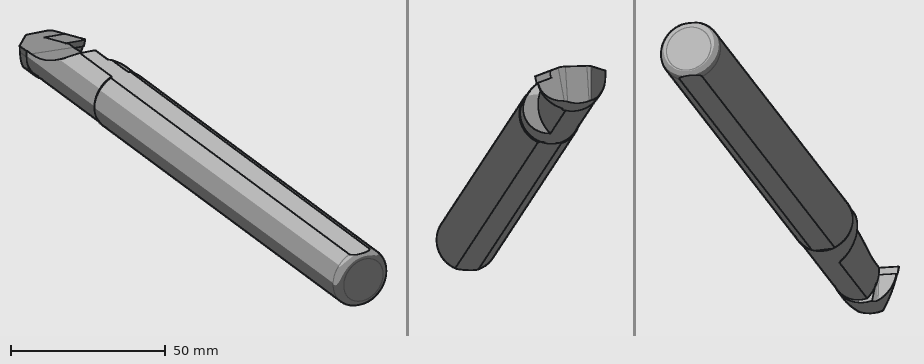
import cadquery as cq
import math


overall_length = 199.96
shank_radius = 10.0
flat_height = 9.25
end_round = 2.5
neck_radius = 9.75
neck_end_x = 51.9
step_length = 0.6
clearance_reach_y = 5.95
clearance_radius = 13.3
clearance_axis_y = clearance_reach_y - clearance_radius
clearance_end_x = 41.1
clearance_runout = 7.5
clearance_runout_angle = 34.0
head_length = 10.7
head_radius = 10.85
head_axis_y = head_radius - neck_radius
head_corner_radius = 2.5
chamfer_size = 6.4
relief_angle = 7.0
rake_tilt = 5.0
rake_height = 1.3
insert_side = 7.75
insert_angle = 55.0
insert_thickness = 2.38
nose_radius = 0.4
lead_angle = 3.0
tip_x = 11.05
tip_y = 13.05
scoop_start_x = 13.7
scoop_radius = 27.5
scoop_sweep_angle = 60.0
scoop_skew = 4.6

oversize = 40.0
margin = 10.0

front_angle = 90 - insert_angle - lead_angle
front_slope = math.tan(math.radians(front_angle))
lead_slope = math.tan(math.radians(lead_angle))

rake_plane = cq.Plane(
    origin=(0, 0, rake_height),
    xDir=(1, 0, 0),
    normal=(0, math.sin(math.radians(rake_tilt)), math.cos(math.radians(rake_tilt))),
)


def polar(length, angle):
    """X and Y parts of a length at an angle in degrees."""
    return (length * math.cos(math.radians(angle)), length * math.sin(math.radians(angle)))


def make_insert():
    """Rhombic insert with its top on the rake face and its sides relieved."""
    front_dx, front_dy = polar(insert_side, 180 + front_angle)
    trail_dx, trail_dy = polar(insert_side, 270 - lead_angle)
    outline = (
        cq.Sketch()
        .polygon([
            (tip_x, tip_y),
            (tip_x + front_dx, tip_y + front_dy),
            (tip_x + front_dx + trail_dx, tip_y + front_dy + trail_dy),
            (tip_x + trail_dx, tip_y + trail_dy),
            (tip_x, tip_y),
        ])
        .vertices(">Y")
        .fillet(nose_radius)
    )
    return cq.Workplane(rake_plane).placeSketch(outline).extrude(-insert_thickness, taper=relief_angle)


def make_head():
    """Relieved wedge below the rake face, limited by the eccentric head section."""
    front_corner_y = tip_y - tip_x * front_slope
    trail_end_x = tip_x - (tip_y - clearance_reach_y) * lead_slope
    back_x = head_length + margin
    outline = (
        cq.Sketch()
        .polygon([
            (0, chamfer_size - neck_radius),
            (0, front_corner_y),
            (tip_x, tip_y),
            (trail_end_x, clearance_reach_y),
            (back_x, clearance_reach_y),
            (back_x, -neck_radius - margin),
            (chamfer_size + margin, -neck_radius - margin),
            (0, chamfer_size - neck_radius),
        ])
        .vertices("<X")
        .fillet(head_corner_radius)
    )
    wedge_depth = head_radius + 2 * rake_height
    wedge = cq.Workplane(rake_plane).placeSketch(outline).extrude(-wedge_depth, taper=relief_angle)
    section = (
        cq.Workplane("YZ")
        .moveTo(head_axis_y - head_radius, flat_height)
        .lineTo(head_axis_y - head_radius, 0)
        .threePointArc((head_axis_y, -head_radius), (head_axis_y + head_radius, 0))
        .lineTo(head_axis_y + head_radius, flat_height)
        .close()
        .extrude(head_length)
    )
    return section.intersect(wedge)


def make_shank_and_neck():
    """Round neck and shank, turned in one piece, with a top flat all along and a bottom flat on the shank."""
    corner = end_round * math.sqrt(0.5)
    turned = (
        cq.Workplane("XY")
        .moveTo(head_length, 0)
        .lineTo(head_length, neck_radius)
        .lineTo(neck_end_x, neck_radius)
        .lineTo(neck_end_x + step_length, shank_radius)
        .lineTo(overall_length - end_round, shank_radius)
        .threePointArc(
            (overall_length - end_round + corner, shank_radius - end_round + corner),
            (overall_length, shank_radius - end_round),
        )
        .lineTo(overall_length, 0)
        .close()
        .revolve(360, (0, 0, 0), (1, 0, 0))
    )
    top_waste = (
        cq.Workplane("XY", origin=(0, 0, flat_height))
        .rect(2 * overall_length + margin, oversize)
        .extrude(margin)
    )
    bottom_waste = (
        cq.Workplane("XY", origin=(neck_end_x, -oversize / 2, -flat_height - margin))
        .rect(overall_length, oversize, centered=False)
        .extrude(margin)
    )
    return turned.cut(top_waste).cut(bottom_waste)


def make_neck_clearance():
    """Material removed outside an eccentric cylinder that runs out in a cone."""
    runout_rise = clearance_runout * math.tan(math.radians(clearance_runout_angle))
    outer = clearance_radius + runout_rise
    return (
        cq.Workplane("XY", origin=(0, clearance_axis_y, 0))
        .polyline([
            (head_length, clearance_radius),
            (clearance_end_x, clearance_radius),
            (clearance_end_x + clearance_runout, outer),
            (head_length, outer),
        ])
        .close()
        .revolve(360, (0, 0, 0), (1, 0, 0))
    )


def make_scoop():
    """Material removed above the rake face and the arc rising behind it."""
    axis = cq.Vector(
        math.tan(math.radians(scoop_skew)), 1, -math.tan(math.radians(rake_tilt))
    )
    sweep = axis * oversize
    start = sweep * -0.5
    arc_mid = polar(scoop_radius, scoop_sweep_angle / 2 - 90)
    arc_end = polar(scoop_radius, scoop_sweep_angle - 90)
    scoop_centre_z = rake_height + scoop_radius
    profile = (
        cq.Workplane("XZ")
        .moveTo(-oversize, rake_height)
        .lineTo(scoop_start_x, rake_height)
        .threePointArc(
            (scoop_start_x + arc_mid[0], scoop_centre_z + arc_mid[1]),
            (scoop_start_x + arc_end[0], scoop_centre_z + arc_end[1]),
        )
        .lineTo(-oversize, scoop_centre_z + arc_end[1])
        .close()
        .wires()
        .val()
        .translate(start)
    )
    return cq.Workplane(cq.Solid.extrudeLinear(profile, [], sweep))


insert = make_insert()
bar = (
    make_shank_and_neck()
    .cut(make_neck_clearance())
    .union(make_head())
    .cut(make_scoop())
    .cut(insert)
)

result = cq.Compound.makeCompound([bar.val(), insert.val()])